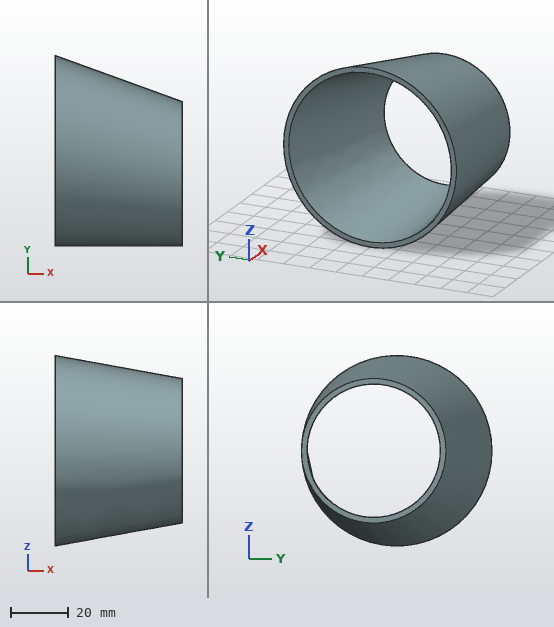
import cadquery as cq

length = 44.0
large_diameter = 66.0
small_diameter = 50.0
wall = 2.0

small_end_offset = -(large_diameter - small_diameter) / 2


def oblique_cone(inset):
    """Solid between the two end circles, each reduced in radius by inset."""
    return (
        cq.Workplane("YZ")
        .circle(large_diameter / 2 - inset)
        .workplane(offset=length)
        .center(small_end_offset, 0)
        .circle(small_diameter / 2 - inset)
        .loft(ruled=True)
    )


outer_body = oblique_cone(0)
bore = oblique_cone(wall)

result = outer_body.cut(bore)